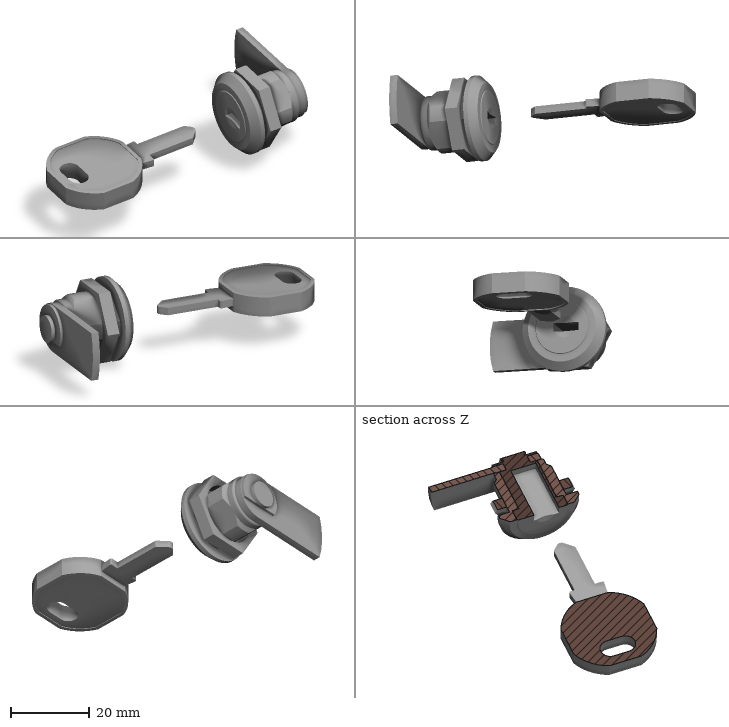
import cadquery as cq
import math


FLANGE_RADIUS = 11.0
FLANGE_RIM = 1.2
FLANGE_CHAMFER = 2.0
FLANGE_FRONT = -FLANGE_RIM - FLANGE_CHAMFER
BARREL_RADIUS = 8.0
BARREL_FLATS = 13.9
BARREL_END = 10.3
NECK_RADIUS = 7.0
NECK_ROUND = 0.7
NECK_END = 13.4
CONE_END = BARREL_END + BARREL_RADIUS - NECK_RADIUS

HEAD_RADIUS = 7.0
HEAD_PROUD = 0.2
HEAD_TAPER = 0.15
HEAD_FRONT = FLANGE_FRONT - HEAD_PROUD
CORE_RADIUS = 5.2
SPINDLE_RADIUS = 3.6
STOP_RADIUS = 6.3
STOP_FLAT_DROP = 3.05
STOP_THICKNESS = 0.75
CAP_RADIUS = SPINDLE_RADIUS
CAP_THICKNESS = 1.0
CAP_GROOVE_RADIUS = 3.0
CAP_GROOVE_WIDTH = 0.2
DISH_RADIUS = 2.75
DISH_DEPTH = 0.6
KEYWAY_LEFT = -2.3
KEYWAY_RIGHT = 4.5
KEYWAY_HEIGHT = 2.15

NUT_START = 1.7
NUT_THICKNESS = 3.3
NUT_FLATS = 19.1

CAM_THICKNESS = 2.0
CAM_HALF_WIDTH = 6.5
CAM_REACH = 23.9
CAM_END = NECK_END + CAM_THICKNESS
STOP_END = CAM_END + STOP_THICKNESS

BOW_X = 1.2
BOW_Y = -45.7
BOW_WIDTH = 23.0
BOW_ROUND_RADIUS = 12.3
BOW_THICKNESS = 5.2
BOW_BORDER = 1.0
BOW_RECESS = 0.2
RING_SLOT_LENGTH = 9.3
RING_SLOT_WIDTH = 5.15
RING_SLOT_DROP = 6.1
BLADE_THICKNESS = 2.0
BLADE_WIDTH = 5.6
BLADE_X = 0.75
BLADE_LENGTH = 15.95
TIP_X = 0.3
TIP_ROUND = 1.35
SHOULDER_LENGTH = 3.8
SHOULDER_WIDTH = 9.6
SHOULDER_ROOT_WIDTH = 8.65
SHOULDER_ROUND = 0.4

BOW_TOP = BOW_Y + BOW_WIDTH / 2
SHOULDER_END = BOW_TOP + SHOULDER_LENGTH
KEYWAY_DEPTH = BLADE_LENGTH


def disc(radius, start, end):
    """A cylinder about the lock axis between two Y positions."""
    return cq.Workplane("XZ", origin=(0, start, 0)).circle(radius).extrude(start - end)


def make_plug_body():
    """The plug without its keyway: head, core, spindle, stop plate with one flat, and grooved cap."""
    head = disc(HEAD_RADIUS, HEAD_FRONT, 0).faces("<Y").chamfer(HEAD_PROUD, HEAD_TAPER)
    core = disc(CORE_RADIUS, 0, NECK_END)
    spindle = disc(SPINDLE_RADIUS, NECK_END, CAM_END)
    stop_plate = disc(STOP_RADIUS, CAM_END, STOP_END).intersect(
        cq.Workplane("XY", origin=(0, 0, -STOP_FLAT_DROP))
        .rect(2 * STOP_RADIUS, 2 * STOP_END)
        .extrude(STOP_RADIUS + STOP_FLAT_DROP)
    )
    cap_start = STOP_END + CAP_GROOVE_WIDTH
    cap_neck = disc(CAP_GROOVE_RADIUS, STOP_END, cap_start)
    cap = disc(CAP_RADIUS, cap_start, cap_start + CAP_THICKNESS)
    return head.union(core).union(spindle).union(stop_plate).union(cap_neck).union(cap)


def make_plug():
    """The plug with a keyway and a shallow conical dish that guides the key into it."""
    keyway_width = KEYWAY_RIGHT - KEYWAY_LEFT
    keyway = (
        cq.Workplane("XY", origin=(KEYWAY_LEFT, HEAD_FRONT, 0))
        .box(keyway_width, KEYWAY_DEPTH, KEYWAY_HEIGHT, centered=(False, False, True))
    )
    dish_centre = cq.Vector(BLADE_X, HEAD_FRONT, 0)
    dish = cq.Solid.makeCone(DISH_RADIUS, 0, DISH_DEPTH, dish_centre, cq.Vector(0, 1, 0))
    return make_plug_body().cut(keyway).cut(cq.Workplane(dish))


def make_housing():
    """A turned housing with four flats along the barrel and a bore that fits the plug."""
    profile = [
        (0, FLANGE_FRONT),
        (FLANGE_RADIUS - FLANGE_CHAMFER, FLANGE_FRONT),
        (FLANGE_RADIUS, -FLANGE_RIM),
        (FLANGE_RADIUS, 0),
        (BARREL_RADIUS, 0),
        (BARREL_RADIUS, BARREL_END),
        (NECK_RADIUS, CONE_END),
        (NECK_RADIUS, NECK_END),
        (0, NECK_END),
    ]
    turned = cq.Workplane("XY").polyline(profile).close().revolve(360, (0, 0, 0), (0, 1, 0))
    turned = turned.faces(">Y").edges().fillet(NECK_ROUND)
    flat_bar = (
        cq.Workplane("XZ")
        .transformed(rotate=(0, 0, 45))
        .rect(BARREL_FLATS, BARREL_FLATS)
        .extrude(-CONE_END)
    )
    flats = disc(BARREL_RADIUS, 0, CONE_END).cut(flat_bar)
    return turned.cut(flats).cut(make_plug_body())


def make_nut():
    """A hexagonal nut with two flats level and a bore that fits the barrel."""
    return (
        cq.Workplane("XZ", origin=(0, NUT_START, 0))
        .polygon(6, NUT_FLATS / math.cos(math.pi / 6))
        .circle(BARREL_RADIUS)
        .extrude(-NUT_THICKNESS)
    )


def make_cam():
    """The lever, reaching toward -X, with a bore that fits the spindle."""
    corner_x = -math.sqrt(CAM_REACH**2 - CAM_HALF_WIDTH**2)
    return (
        cq.Workplane("XZ", origin=(0, NECK_END, 0))
        .moveTo(corner_x, CAM_HALF_WIDTH)
        .lineTo(0, CAM_HALF_WIDTH)
        .threePointArc((CAM_HALF_WIDTH, 0), (0, -CAM_HALF_WIDTH))
        .lineTo(corner_x, -CAM_HALF_WIDTH)
        .threePointArc((-CAM_REACH, 0), (corner_x, CAM_HALF_WIDTH))
        .close()
        .moveTo(0, 0)
        .circle(SPINDLE_RADIUS)
        .extrude(-CAM_THICKNESS)
    )


def bow_plate(inset, thickness):
    """A square plate with corners rounded about its centre, shrunk by an inset on all sides."""
    width = BOW_WIDTH - 2 * inset
    square = cq.Workplane("XY").box(width, width, thickness)
    return square.intersect(cq.Workplane("XY").cylinder(thickness, BOW_ROUND_RADIUS - inset))


def make_bow():
    """The bow with a shallow recess on both faces and a slot for a key ring."""
    bow = bow_plate(0, BOW_THICKNESS)
    recess = bow_plate(BOW_BORDER, BOW_RECESS)
    for side in (-1, 1):
        bow = bow.cut(recess.translate((0, 0, side * (BOW_THICKNESS - BOW_RECESS) / 2)))
    ring_slot = (
        cq.Workplane("XY", origin=(0, -RING_SLOT_DROP, 0))
        .slot2D(RING_SLOT_LENGTH, RING_SLOT_WIDTH)
        .extrude(BOW_THICKNESS, both=True)
    )
    return bow.cut(ring_slot).translate((BOW_X, BOW_Y, 0))


def make_blade():
    """The blade, with a rounded 45 degree point off its centre line."""
    left = BLADE_X - BLADE_WIDTH / 2
    right = BLADE_X + BLADE_WIDTH / 2
    point_y = SHOULDER_END + BLADE_LENGTH + TIP_ROUND * (math.sqrt(2) - 1)
    outline = [
        (left, BOW_Y),
        (right, BOW_Y),
        (right, point_y - (right - TIP_X)),
        (TIP_X, point_y),
        (left, point_y - (TIP_X - left)),
    ]
    blade = cq.Workplane("XY").polyline(outline).close().extrude(BLADE_THICKNESS / 2, both=True)
    return blade.edges("|Z").edges(">Y").fillet(TIP_ROUND)


def make_shoulder():
    """The stop between blade and bow, slightly wider toward the blade."""
    outline = [
        (BOW_X - SHOULDER_ROOT_WIDTH / 2, BOW_TOP),
        (BOW_X + SHOULDER_ROOT_WIDTH / 2, BOW_TOP),
        (BOW_X + SHOULDER_WIDTH / 2, SHOULDER_END),
        (BOW_X - SHOULDER_WIDTH / 2, SHOULDER_END),
    ]
    shoulder = cq.Workplane("XY").polyline(outline).close().extrude(BLADE_THICKNESS / 2, both=True)
    return shoulder.faces(">Y").edges("|Z").fillet(SHOULDER_ROUND)


def make_key():
    """The key as one body; the blade runs on into the solid of the bow."""
    return make_bow().union(make_shoulder()).union(make_blade())


housing = make_housing()
nut = make_nut()
plug = make_plug()
cam = make_cam()
key = make_key()

bodies = [housing, nut, plug, cam, key]
result = cq.Compound.makeCompound([body.solids().val() for body in bodies])